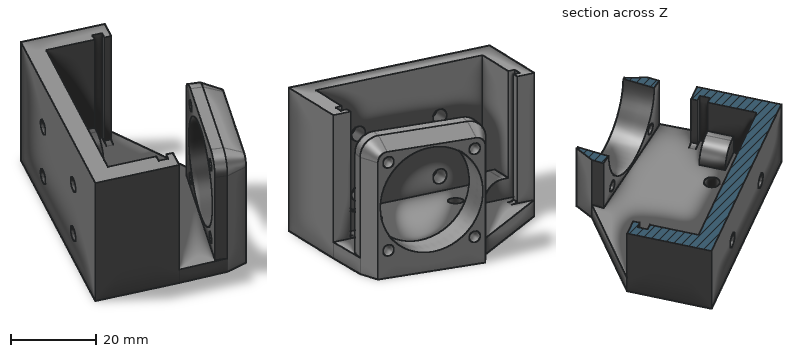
import cadquery as cq
import math

width = 54.6
height = 36.0
box_depth = 20.8
wall = 4.7
floor_height = 4.1

groove_depth = 1.7
groove_width = 2.4
lip_thickness = 1.7
groove_front = box_depth - lip_thickness - groove_width

support_length = 6.4
support_flat = 1.5
support_radius = 5.05
lip_fillet_radius = 3.0

mount_diameter = 3.7
mount_spacing_x = 22.1
mount_spacing_z = 15.0
mount_lower_z = 7.8
floor_hole_y = 12.0

fan_x = 38.0
fan_y = 31.64
fan_center_z = 18.0
fan_angle = -6.5
fan_size = 32.2
fan_corner_radius = 4.7
fan_straight_depth = 3.0
fan_taper_depth = 5.0
fan_taper_inset = 2.35
fan_bore = 26.29
fan_screw_diameter = 2.8
fan_screw_spacing = 22.1

fan_depth = fan_straight_depth + fan_taper_depth


def box_from(x0, x1, y0, y1, z0, z1):
    return cq.Workplane("XY").box(x1 - x0, y1 - y0, z1 - z0, centered=False).translate((x0, y0, z0))


def both_sides(left_shape):
    """The left-hand shape together with its mirror image about the middle of the box."""
    right_shape = left_shape.mirror("YZ").translate((width, 0, 0))
    return left_shape.union(right_shape)


def make_box():
    body = box_from(0, width, 0, box_depth, 0, height)
    cavity = box_from(wall, width - wall, wall, box_depth, floor_height, height)
    groove = box_from(
        wall - groove_depth, wall, groove_front, groove_front + groove_width, floor_height, height
    )
    return body.cut(cavity).cut(both_sides(groove))


def extrude_along_y(profile, y0, y1):
    """Extrude an XZ profile, which grows toward -Y, so that it spans y0 to y1."""
    return profile.extrude(y1 - y0).translate((0, y1, 0))


def make_supports():
    round_start = wall + support_flat
    round_end = round_start + support_radius
    top = floor_height + support_radius
    diagonal = support_radius * math.sqrt(0.5)
    profile = (
        cq.Workplane("XZ")
        .moveTo(wall, floor_height)
        .lineTo(wall, top)
        .lineTo(round_start, top)
        .threePointArc((round_start + diagonal, floor_height + diagonal), (round_end, floor_height))
        .close()
    )
    return both_sides(extrude_along_y(profile, groove_front - support_length, groove_front))


def make_lip_fillets():
    """Concave strips where the rear lips meet the floor."""
    end_x = wall + support_flat
    rise = lip_fillet_radius - math.sqrt(lip_fillet_radius**2 - support_flat**2)
    half_angle = math.asin(support_flat / lip_fillet_radius) / 2
    middle = (
        end_x - lip_fillet_radius * math.sin(half_angle),
        floor_height + lip_fillet_radius * (1 - math.cos(half_angle)),
    )
    profile = (
        cq.Workplane("XZ")
        .moveTo(wall, floor_height)
        .lineTo(wall, floor_height + rise)
        .threePointArc(middle, (end_x, floor_height))
        .close()
    )
    return both_sides(extrude_along_y(profile, box_depth - lip_thickness, box_depth))


def place_fan(shape):
    """Move a shape from the fan plate's own axes to its place on the part."""
    return shape.rotate((0, 0, 0), (0, 0, 1), fan_angle).translate((fan_x, fan_y, 0))


def fan_outline(plane, inset):
    """Upright outline from the base to the top, with two rounded upper corners."""
    half = fan_size / 2 - inset
    top = fan_center_z + half
    radius = fan_corner_radius - inset
    corner_gap = radius * (1 - math.sqrt(0.5))
    return (
        plane.moveTo(-half, 0)
        .lineTo(half, 0)
        .lineTo(half, top - radius)
        .threePointArc((half - corner_gap, top - corner_gap), (half - radius, top))
        .lineTo(radius - half, top)
        .threePointArc((corner_gap - half, top - corner_gap), (-half, top - radius))
        .close()
    )


def make_fan_plate():
    straight = fan_outline(cq.Workplane("XZ"), 0).extrude(-fan_straight_depth)
    taper_start = cq.Workplane("XZ", origin=(0, fan_straight_depth, 0))
    taper_base = fan_outline(taper_start, 0).workplane(offset=-fan_taper_depth)
    taper = fan_outline(taper_base, fan_taper_inset).loft(ruled=True)
    return place_fan(straight.union(taper))


def make_fan_openings():
    face = cq.Workplane("XZ", origin=(0, 0, fan_center_z))
    bore = face.circle(fan_bore / 2).extrude(-fan_depth)
    screws = (
        face.rect(fan_screw_spacing, fan_screw_spacing, forConstruction=True)
        .vertices()
        .circle(fan_screw_diameter / 2)
        .extrude(-fan_depth)
    )
    return place_fan(bore.union(screws))


def make_rear_floor():
    """Floor slab joining the box to the straight part of the fan plate."""
    angle = math.radians(fan_angle)

    def fan_corner(side):
        along = side * fan_size / 2
        return (
            fan_x + along * math.cos(angle) - fan_straight_depth * math.sin(angle),
            fan_y + along * math.sin(angle) + fan_straight_depth * math.cos(angle),
        )

    outline = [(0, box_depth), fan_corner(-1), fan_corner(1), (width, box_depth)]
    return cq.Workplane("XY").polyline(outline).close().extrude(floor_height)


def make_mount_holes():
    columns = [width / 2 - mount_spacing_x / 2, width / 2 + mount_spacing_x / 2]
    rows = [mount_lower_z, mount_lower_z + mount_spacing_z]
    front = (
        cq.Workplane("XZ")
        .pushPoints([(x, z) for x in columns for z in rows])
        .circle(mount_diameter / 2)
        .extrude(-wall)
    )
    bottom = (
        cq.Workplane("XY")
        .pushPoints([(x, floor_hole_y) for x in columns])
        .circle(mount_diameter / 2)
        .extrude(floor_height)
    )
    return front.union(bottom)


result = (
    make_box()
    .union(make_supports())
    .union(make_lip_fillets())
    .union(make_rear_floor())
    .union(make_fan_plate())
    .cut(make_fan_openings())
    .cut(make_mount_holes())
)